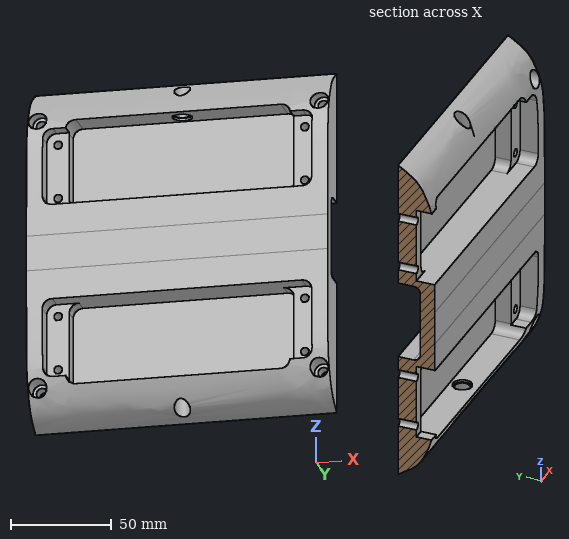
import cadquery as cq

width = 154.0
thickness = 20.0
height = 178.0

flat_half_height = 9.0
crown_points = [(19.8, 39.2), (19.4, 55.2), (17.8, 66.5), (14.5, 75.3), (9.0, 82.8)]

channel_height = 42.0
channel_depth = 12.0
channel_radius = 3.5

pocket_bottom = 24.7
well_top = 69.2
shelf_top = 65.0
well_width = 114.6
shelf_width = 137.5
pocket_radius = 5.0
pocket_overshoot = 1.8
shelf_from_back = 10.0
well_floor = 1.5

shelf_hole_diameter = 4.1
shelf_hole_x = 63.0
shelf_hole_levels = (31.0, 58.9)

corner_hole_x = 71.9
corner_hole_z = 70.0
corner_hole_diameter = 5.5
counterbore_diameter = 9.0
counterbore_floor = 7.5

cable_hole_diameter = 8.0
cable_hole_from_back = 8.0
cable_recess_diameter = 10.0
cable_recess_depth = 1.2


def make_body():
    half_height = height / 2
    upper_curve = [(-depth, z) for depth, z in crown_points] + [(0, half_height)]
    lower_curve = [(y, -z) for y, z in reversed(upper_curve[:-1])]
    lower_curve.append((-thickness, -flat_half_height))
    end_depth, end_z = crown_points[-1]
    rise = half_height - end_z
    return (
        cq.Workplane("YZ", origin=(-width / 2, 0, 0))
        .moveTo(-thickness, -flat_half_height)
        .lineTo(-thickness, flat_half_height)
        .spline(upper_curve, tangents=[(0, 1), (end_depth, rise)], includeCurrent=True)
        .lineTo(0, -half_height)
        .spline(lower_curve, tangents=[(-end_depth, rise), (0, 1)], includeCurrent=True)
        .close()
        .extrude(width)
    )


def make_channel():
    channel = cq.Workplane("XY").box(width, 2 * channel_depth, channel_height)
    return channel.edges("|X and <Y").fillet(channel_radius)


def make_recess(recess_width, top, floor_from_back):
    """Rounded box open to the front, from the pocket bottom up to the given top."""
    recess_height = top - pocket_bottom
    front = thickness + pocket_overshoot
    return (
        cq.Workplane("XY")
        .box(recess_width, front - floor_from_back, recess_height)
        .edges("|Y")
        .fillet(pocket_radius)
        .translate((0, -(front + floor_from_back) / 2, (top + pocket_bottom) / 2))
    )


def front_cylinders(points, diameter, start_from_back):
    """Cylinders running forward from the given distance off the back face."""
    return (
        cq.Workplane("XZ", origin=(0, -start_from_back, 0))
        .pushPoints(points)
        .circle(diameter / 2)
        .extrude(thickness)
    )


def make_upper_cuts():
    """Everything cut from the half above Z = 0."""
    shelf_holes = [(side * shelf_hole_x, z) for side in (-1, 1) for z in shelf_hole_levels]
    corner_holes = [(side * corner_hole_x, corner_hole_z) for side in (-1, 1)]
    cable_axis = cq.Workplane("XY", origin=(0, -cable_hole_from_back, well_top))
    cable_hole = cable_axis.circle(cable_hole_diameter / 2).extrude(height / 2 - well_top)
    cable_recess = cable_axis.circle(cable_recess_diameter / 2).extrude(cable_recess_depth)
    return [
        make_recess(shelf_width, shelf_top, shelf_from_back),
        make_recess(well_width, well_top, well_floor),
        front_cylinders(shelf_holes, shelf_hole_diameter, 0),
        front_cylinders(corner_holes, corner_hole_diameter, 0),
        front_cylinders(corner_holes, counterbore_diameter, counterbore_floor),
        cable_hole,
        cable_recess,
    ]


result = make_body().cut(make_channel())
for cutter in make_upper_cuts():
    result = result.cut(cutter).cut(cutter.mirror("XY"))